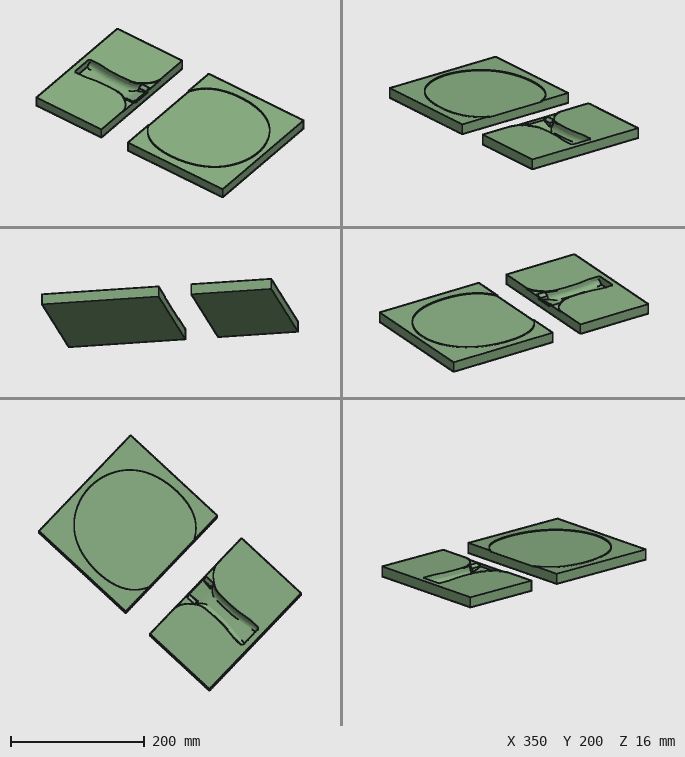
import cadquery as cq

TOTAL_LENGTH = 350.0
PLATE_WIDTH = 200.0
PLATE_THICKNESS = 16.0
HANDLE_PLATE_LENGTH = 122.0
BLADE_PLATE_LENGTH = 178.0
BLADE_PLATE_START = TOTAL_LENGTH - BLADE_PLATE_LENGTH

BLADE_DEPTH = 1.5
BLADE_LENGTH = 168.7
BLADE_EDGE = [(0, 49.0), (20.3, 72.8), (68.5, 85.5), (143.5, 60.2)]
FLARE_START_X = 87.5
FLARE_MOUTH_HALF_WIDTH = 46.0

GRIP_START_X = 9.5
GRIP_END_LENGTH = 4.5
GRIP_END_RISE = 0.7
GRIP_FLOOR_END_X = 92.5
GRIP_DEPTH = 12.5
SIDE_DEPTH = 6.5
SIDE_SLOPE = 1.5
FLOOR_INSET = 8.0
ARC_WIDTH_FRACTION = 0.6
ARC_DEPTH_FRACTION = 0.7
GRIP_STATIONS = [(GRIP_START_X, 18.2), (42.0, 16.0), (71.5, 14.7), (87.5, 15.5), (97.0, 17.0), (105.0, 21.5)]
FLARE_EDGE = [(FLARE_START_X, 15.5), (97.0, 17.0), (104.5, 21.7), (113.5, 29.0)]

THROAT_START_X = 104.3
THROAT_TOP_HALF_WIDTH = 21.5
THROAT_SHOULDER_HALF_WIDTH = 15.0
THROAT_FLOOR_HALF_WIDTH = 12.5
THROAT_SHOULDER_DEPTH = 5.2
THROAT_SIDE_END_X = 120.5
LIP = 0.7
RAMP_END_X = HANDLE_PLATE_LENGTH - LIP
RAMP_CURVE_DEPTH = 11.0
RAMP_END_DEPTH = 5.5
CORNER_RADIUS = 3.0


def plate(start_x, length):
    """Flat plate with its top face at Z = 0."""
    return cq.Workplane("XY").box(length, PLATE_WIDTH, PLATE_THICKNESS, centered=(False, True, False)).translate(
        (start_x, 0, -PLATE_THICKNESS)
    )


def mirrored(points):
    """Same points on the -Y side, in reverse order."""
    return [(x, -y) for x, y in reversed(points)]


def blade_recess():
    """Egg-shaped recess, open at the edge facing the handle plate."""
    upper = [(BLADE_PLATE_START + distance, half_width) for distance, half_width in BLADE_EDGE]
    tip = (BLADE_PLATE_START + BLADE_LENGTH, 0)
    return cq.Workplane("XY").spline(upper + [tip] + mirrored(upper)).close().extrude(-BLADE_DEPTH)


def flare_recess():
    """Shallow recess where the grip widens into the blade."""
    upper = FLARE_EDGE + [(HANDLE_PLATE_LENGTH, FLARE_MOUTH_HALF_WIDTH)]
    lower = mirrored(upper)
    return (
        cq.Workplane("XY").moveTo(*upper[0]).spline(upper[1:], includeCurrent=True)
        .lineTo(*lower[0]).spline(lower[1:], includeCurrent=True).close().extrude(-BLADE_DEPTH)
    )


def grip_section(x, half_width):
    """Trough section at one X: steep sides, then arcs onto the flat floor."""
    side = half_width - SIDE_SLOPE
    floor = half_width - FLOOR_INSET
    middle = floor + ARC_WIDTH_FRACTION * (side - floor)
    middle_depth = SIDE_DEPTH + ARC_DEPTH_FRACTION * (GRIP_DEPTH - SIDE_DEPTH)
    return (
        cq.Workplane("YZ", origin=(x, 0, 0)).moveTo(half_width, 0).lineTo(side, -SIDE_DEPTH)
        .threePointArc((middle, -middle_depth), (floor, -GRIP_DEPTH)).lineTo(-floor, -GRIP_DEPTH)
        .threePointArc((-middle, -middle_depth), (-side, -SIDE_DEPTH)).lineTo(-half_width, 0).close().val()
    )


def rounded_end_limit():
    """Block that rounds the upright corners at the closed end of the grip."""
    length = HANDLE_PLATE_LENGTH - GRIP_START_X
    width = 2 * GRIP_STATIONS[0][1]
    block = cq.Workplane("XY", origin=(GRIP_START_X, 0, 0)).rect(length, width).extrude(-PLATE_THICKNESS)
    block = block.translate((length / 2, 0, 0)).edges("|Z and <X").fillet(CORNER_RADIUS)
    opening = (
        cq.Workplane("XY", origin=(FLARE_START_X, 0, 0)).box(
            HANDLE_PLATE_LENGTH - FLARE_START_X, 2 * FLARE_MOUTH_HALF_WIDTH, 2 * PLATE_THICKNESS,
            centered=(False, True, True),
        )
    )
    return block.union(opening)


def grip_trough():
    """Waisted trough lofted along the grip, with a rounded closed end."""
    sections = [grip_section(x, half_width) for x, half_width in GRIP_STATIONS]
    trough = cq.Workplane(obj=cq.Solid.makeLoft(sections))
    return trough.intersect(rounded_end_limit())


def throat_trough():
    """Straight throat with sloping sides, narrowing at the open edge of the plate."""
    right = [
        (THROAT_TOP_HALF_WIDTH, 0),
        (THROAT_TOP_HALF_WIDTH, -BLADE_DEPTH),
        (THROAT_SHOULDER_HALF_WIDTH, -THROAT_SHOULDER_DEPTH),
        (THROAT_FLOOR_HALF_WIDTH, -GRIP_DEPTH),
    ]
    left = [(-y, z) for y, z in reversed(right)]
    sides = (
        cq.Workplane("YZ", origin=(THROAT_START_X, 0, 0)).polyline(right + left).close()
        .extrude(THROAT_SIDE_END_X - THROAT_START_X)
    )
    mouth = cq.Workplane("XY", origin=(THROAT_SIDE_END_X, 0, 0)).box(
        RAMP_END_X - THROAT_SIDE_END_X, 2 * THROAT_SHOULDER_HALF_WIDTH, 2 * GRIP_DEPTH,
        centered=(False, True, True),
    )
    return sides.union(mouth)


def pocket_profile():
    """Lengthwise limits: upright end wall, slightly raised floor end, flat floor and rising ramp."""
    return (
        cq.Workplane("XZ", origin=(0, PLATE_WIDTH / 2, 0)).moveTo(GRIP_START_X, 0)
        .lineTo(GRIP_START_X, GRIP_END_RISE - GRIP_DEPTH)
        .lineTo(GRIP_START_X + GRIP_END_LENGTH, -GRIP_DEPTH).lineTo(GRIP_FLOOR_END_X, -GRIP_DEPTH)
        .tangentArcPoint((THROAT_START_X, -RAMP_CURVE_DEPTH), relative=False)
        .lineTo(RAMP_END_X, -RAMP_END_DEPTH).lineTo(RAMP_END_X, 0).close().extrude(PLATE_WIDTH)
    )


def handle_plate():
    body = plate(0, HANDLE_PLATE_LENGTH).cut(flare_recess())
    for trough in (grip_trough(), throat_trough()):
        body = body.cut(trough.intersect(pocket_profile()))
    return body


def blade_plate():
    return plate(BLADE_PLATE_START, BLADE_PLATE_LENGTH).cut(blade_recess())


handle = handle_plate()
blade = blade_plate()
result = cq.Compound.makeCompound([handle.val(), blade.val()])